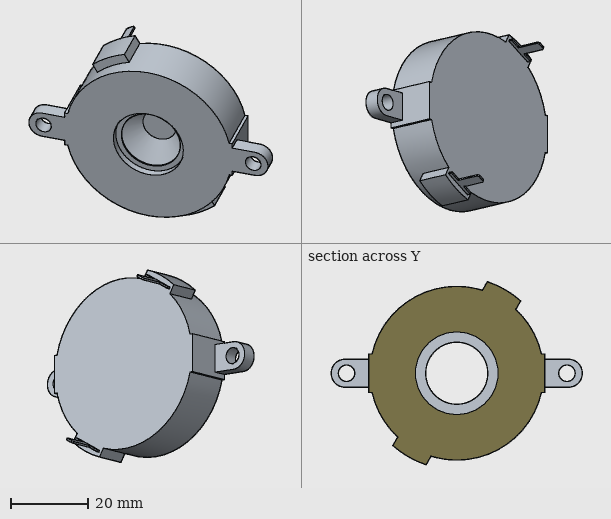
import cadquery as cq

body_radius = 22.5
body_depth = 13.4
flat_pad_span = 45.6
flat_pad_height = 10.0

ear_span = 65.0
ear_height = 7.3
ear_thickness = 4.0
ear_corner_radius = 3.6
ear_hole_spacing = 57.0
ear_hole_diameter = 4.2

recess_radius = 9.5
recess_depth = 2.0
mouth_radius = 8.0
lip_thickness = 0.4
chamber_front_radius = 16.8
chamber_floor_radius = 4.5
chamber_floor_y = 9.4

terminal_angles = (120.0, 300.0)
block_outer_radius = 25.0
block_width = 10.0
block_depth = 9.0

terminal_radius = 23.2
terminal_thickness = 0.5
foot_width = 8.4
foot_height = 1.0
pin_width = 2.5
pin_height = 8.0
pin_tip_chamfer = 0.4
embed_depth = 1.0


def cylinder(radius, start_y, length):
    """Cylinder on the Y axis, running from start_y towards +Y."""
    return cq.Workplane("XZ", origin=(0, start_y, 0)).circle(radius).extrude(-length)


def housing():
    """Round body widened by a flat pad on each side."""
    pads = cq.Workplane("XZ").rect(flat_pad_span, flat_pad_height).extrude(-body_depth)
    return cylinder(body_radius, 0, body_depth).union(pads)


def ears():
    """Bar across the front of the housing whose ends form the drilled mounting ears."""
    bar = (
        cq.Workplane("XZ")
        .rect(ear_span, ear_height)
        .extrude(-ear_thickness)
        .edges("|Y")
        .fillet(ear_corner_radius)
    )
    holes = (
        cq.Workplane("XZ")
        .pushPoints([(-ear_hole_spacing / 2, 0), (ear_hole_spacing / 2, 0)])
        .circle(ear_hole_diameter / 2)
        .extrude(-ear_thickness)
    )
    return bar.cut(holes)


def sound_opening():
    """Hollow of the recess, mouth and conical chamber, as one turned solid."""
    chamber_front_y = recess_depth + lip_thickness
    half_section = [
        (0, 0),
        (0, -recess_radius),
        (recess_depth, -recess_radius),
        (recess_depth, -mouth_radius),
        (chamber_front_y, -mouth_radius),
        (chamber_front_y, -chamber_front_radius),
        (chamber_floor_y, -chamber_floor_radius),
        (chamber_floor_y, 0),
    ]
    return cq.Workplane("YZ").polyline(half_section).close().revolve(360, (0, 0, 0), (1, 0, 0))


def terminal_block():
    """Block on the +X side of the rim, with parallel sides and a round outer face."""
    start_y = body_depth - block_depth
    sides = (
        cq.Workplane("XY")
        .box(block_outer_radius, block_depth, block_width, centered=(False, False, True))
        .translate((0, start_y, 0))
    )
    return sides.intersect(cylinder(block_outer_radius, start_y, block_depth))


def terminal():
    """Flat terminal standing on the back of the block on the +X side."""
    foot = cq.Workplane("XY").box(
        terminal_thickness, foot_height + embed_depth, foot_width, centered=(True, False, True)
    )
    pin = (
        cq.Workplane("XY")
        .box(terminal_thickness, pin_height + embed_depth, pin_width, centered=(True, False, True))
        .edges(">Y and |X")
        .chamfer(pin_tip_chamfer)
    )
    return foot.union(pin).translate((terminal_radius, body_depth - embed_depth, 0))


def turned_to(shape, angle):
    """Turn a shape about the Y axis, from +X towards +Z."""
    return shape.rotate((0, 0, 0), (0, 1, 0), -angle)


result = housing().union(ears())
for angle in terminal_angles:
    result = result.union(turned_to(terminal_block(), angle))
    result = result.union(turned_to(terminal(), angle))
result = result.cut(sound_opening())